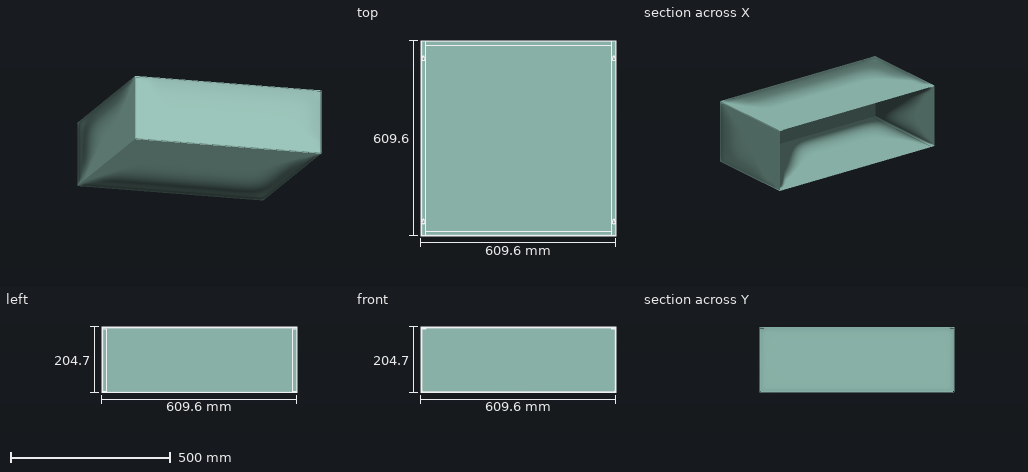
import cadquery as cq


width = 609.6
depth = 609.6
height = 204.65

sheet = 1.45
inner_bend = 0.75
outer_bend = inner_bend + sheet
flange = 14.3

panel_clearance = 0.3
corner_relief = 2.0

keyhole_edge_distance = 7.2
keyhole_hang_y = 255.0
keyhole_slot_width = 4.76
keyhole_head_radius = 5.0
keyhole_drop = 7.0

half_width = width / 2
half_depth = depth / 2
body_height = height - sheet
lip_underside = body_height - sheet
lip_edge = half_width - flange


def block(x_half, y_start, y_end, z_start, z_end):
    """Box symmetric about X = 0."""
    size = (2 * x_half, y_end - y_start, z_end - z_start)
    return cq.Workplane("XY").box(*size, centered=False).translate((-x_half, y_start, z_start))


def make_wrapper():
    """Floor, two sides and two inward top lips, folded from one sheet."""
    outside = block(half_width, -half_depth, half_depth, 0, body_height)
    outside = outside.edges("|Y").fillet(outer_bend)
    inside = block(half_width - sheet, -half_depth, half_depth, sheet, lip_underside)
    inside = inside.edges("|Y").fillet(inner_bend)
    top_opening = block(lip_edge, -half_depth, half_depth, body_height / 2, body_height)
    return outside.cut(inside).cut(top_opening)


def make_front_panel():
    """End panel at -Y with separate top, bottom and side flanges."""
    face = -half_depth
    back = face + flange
    panel_half = half_width - sheet - panel_clearance
    bottom = sheet + panel_clearance
    side_top = lip_underside - corner_relief
    side_bottom = bottom + outer_bend

    channel = block(panel_half, face, back, bottom, body_height)
    channel = channel.edges("<Y and |X").fillet(outer_bend)
    channel_core = block(panel_half, face + sheet, back, bottom + sheet, lip_underside)
    channel_core = channel_core.edges("<Y and |X").fillet(inner_bend)
    upper_zone = block(lip_edge, face, back, bottom, body_height)
    lower_zone = block(panel_half - outer_bend, face, back, bottom, side_bottom)
    channel = channel.cut(channel_core).intersect(upper_zone.union(lower_zone))

    sides = block(panel_half, face, back, side_bottom, side_top)
    sides = sides.edges("<Y and |Z").fillet(outer_bend)
    sides_core = block(panel_half - sheet, face + sheet, back, side_bottom, side_top)
    sides_core = sides_core.edges("<Y and |Z").fillet(inner_bend)
    return channel.union(sides.cut(sides_core))


def keyhole_cutter(x, hang_y):
    """Round head below a narrow slot that points to +Y."""
    head_y = hang_y - keyhole_drop
    head = cq.Workplane("XY", origin=(x, head_y, body_height))
    head = head.circle(keyhole_head_radius).extrude(sheet)
    slot = cq.Workplane("XY", origin=(x, (hang_y + head_y) / 2, body_height))
    slot = slot.slot2D(keyhole_drop + keyhole_slot_width, keyhole_slot_width, 90).extrude(sheet)
    return head.union(slot)


def make_mounting_plate():
    """Flat plate over the whole top, with a keyhole near each corner."""
    plate = block(half_width, -half_depth, half_depth, body_height, height)
    keyhole_x = half_width - keyhole_edge_distance
    for x in (-keyhole_x, keyhole_x):
        for hang_y in (-keyhole_hang_y, keyhole_hang_y):
            plate = plate.cut(keyhole_cutter(x, hang_y))
    return plate


wrapper = make_wrapper()
mounting_plate = make_mounting_plate()
end_panels = []
for turn in (0, 180):
    end_panels.append(make_front_panel().rotate((0, 0, 0), (0, 0, 1), turn))

result = cq.Compound.makeCompound(
    [wrapper.val(), mounting_plate.val()] + [panel.val() for panel in end_panels]
)